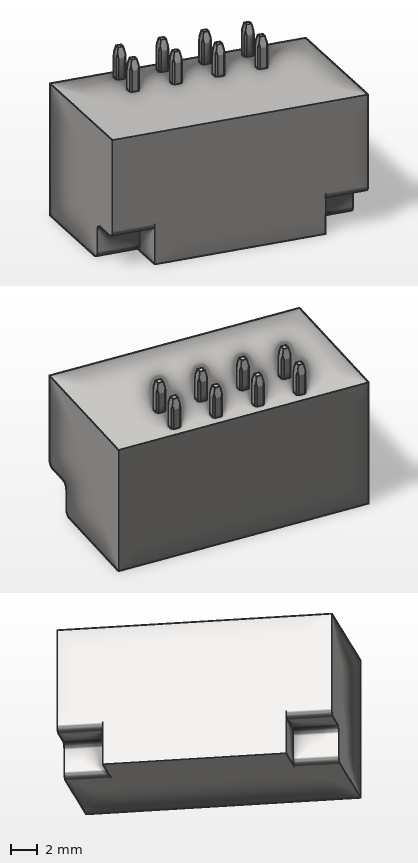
import cadquery as cq

housing_width = 11.6
housing_length = 21.0
housing_height = 10.82

notch_size = 2.8
notch_radius = 0.5

row_count = 2
pins_per_row = 4
first_row_x = 1.11
row_spacing = 2.5
pin_pitch = 3.5
pin_width = 0.8
pin_height = 2.58
pin_corner_chamfer = 0.15
tip_height = 0.85
tip_width = 0.42

pin_span = pin_pitch * (pins_per_row - 1)
first_pin_y = (housing_length - pin_span) / 2
notch_depth = first_pin_y - pin_pitch / 2


def make_end_slab(start_y):
    """Full-height end slab whose lower +X corner is stepped and rounded."""
    step_x = housing_width - notch_size
    slab = (
        cq.Workplane("XZ", origin=(0, start_y, 0))
        .polyline([
            (0, 0),
            (step_x, 0),
            (step_x, notch_size),
            (housing_width, notch_size),
            (housing_width, housing_height),
            (0, housing_height),
        ])
        .close()
        .extrude(-notch_depth)
    )
    margin = notch_radius / 2
    step_edges = cq.selectors.BoxSelector(
        (step_x - margin, start_y, -margin),
        (housing_width + margin, start_y + notch_depth, notch_size + margin),
    )
    return slab.edges("|Y").edges(step_edges).fillet(notch_radius)


def make_housing():
    """Plain middle block between two stepped end slabs."""
    middle_length = housing_length - 2 * notch_depth
    middle = cq.Workplane("XY").box(housing_width, middle_length, housing_height, centered=False)
    middle = middle.translate((0, notch_depth, 0))
    near_end = make_end_slab(0)
    far_end = make_end_slab(housing_length - notch_depth)
    return middle.union(near_end).union(far_end).clean()


def make_pin():
    """Square pin with chamfered corners and a tapered, flat-topped tip, standing on Z = 0."""
    shank_height = pin_height - tip_height
    bar = (
        cq.Workplane("XY")
        .rect(pin_width, pin_width)
        .extrude(pin_height)
        .edges("|Z")
        .chamfer(pin_corner_chamfer)
    )
    shank = cq.Workplane("XY").rect(pin_width, pin_width).extrude(shank_height)
    tip = (
        cq.Workplane("XY", origin=(0, 0, shank_height))
        .rect(pin_width, pin_width)
        .workplane(offset=tip_height)
        .rect(tip_width, tip_width)
        .loft(ruled=True)
    )
    return bar.intersect(shank.union(tip))


result = make_housing()
pin = make_pin()
for row in range(row_count):
    for position in range(pins_per_row):
        pin_x = first_row_x + row * row_spacing
        pin_y = first_pin_y + position * pin_pitch
        result = result.union(pin.translate((pin_x, pin_y, housing_height)))